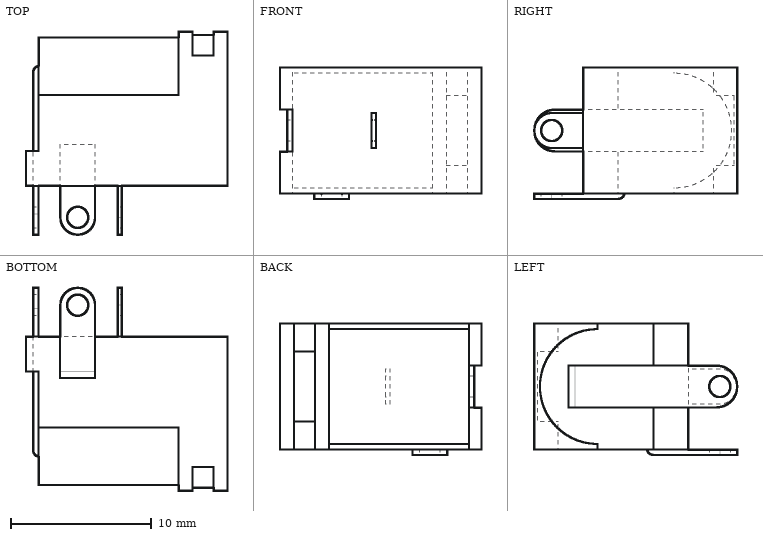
import cadquery as cq

length = 14.4
depth = 11.0
height = 9.0
mid_z = height / 2

barrel_radius = 4.1
barrel_center_y = 6.5
flange_length = 3.5
flange_x = length - flange_length

lip_length = 0.9
lip_depth = 2.5

notch_width = 1.5
notch_margin = 1.0
notch_depth = 1.71
notch_height = 2.0
web_setback = 0.22

terminal_reach = 3.5
hole_diameter = 1.5
hole_y = -2.25
bent_thickness = 0.39
bend_radius = 0.5
end_width = 3.0
end_back_y = 8.58
small_width = 2.5
bottom_center_x = 3.7
bottom_back_y = 2.97
blade_thickness = 0.3
blade_x = 6.55
blade_embed = 0.72


def box(x, y, z, size_x, size_y, size_z):
    """Box placed by its lowest corner."""
    return cq.Workplane("XY").box(size_x, size_y, size_z, centered=False).translate((x, y, z))


def terminal(width, back_y, thickness):
    """Strip along Y, lying on Z = 0, with a rounded, drilled tip towards -Y."""
    radius = width / 2
    shoulder_y = radius - terminal_reach
    strip = (
        cq.Workplane("XY")
        .moveTo(-radius, back_y)
        .lineTo(-radius, shoulder_y)
        .threePointArc((0, -terminal_reach), (radius, shoulder_y))
        .lineTo(radius, back_y)
        .close()
        .extrude(thickness)
    )
    hole = cq.Workplane("XY").center(0, hole_y).circle(hole_diameter / 2).extrude(thickness)
    return strip.cut(hole)


def bent_terminal(width, back_y):
    """Terminal whose back end curves upwards into the housing; outer face on Z = 0."""
    strip = terminal(width, back_y - bend_radius, bent_thickness)
    bend = (
        cq.Workplane("YZ")
        .moveTo(back_y - bend_radius, 0)
        .radiusArc((back_y, bend_radius), -bend_radius)
        .lineTo(back_y - bend_radius, bend_radius)
        .close()
        .extrude(width / 2, both=True)
    )
    return strip.union(bend)


def stand_up(strip, x):
    """Turn a flat terminal upright so that its outer face points to -X."""
    return strip.rotate((0, 0, 0), (0, 1, 0), 90).translate((x, 0, mid_z))


front_block = box(lip_length, 0, 0, length - lip_length, barrel_center_y, height)
flange = box(flange_x, 0, 0, flange_length, depth, height)
barrel = (
    cq.Workplane("YZ", origin=(lip_length, 0, 0))
    .center(barrel_center_y, mid_z)
    .circle(barrel_radius)
    .extrude(length - lip_length)
)
lip = box(0, 0, 0, lip_length, lip_depth, height)
lip_slot = box(0, 0, mid_z - end_width / 2, lip_length, lip_depth, end_width)
housing = front_block.union(flange).union(barrel).union(lip.cut(lip_slot))

notch_x = length - notch_margin - notch_width
for notch_z in (0, height - notch_height):
    housing = housing.cut(
        box(notch_x, depth - notch_depth, notch_z, notch_width, notch_depth, notch_height)
    )
housing = housing.cut(box(notch_x, depth - web_setback, 0, notch_width, web_setback, height))

end_terminal = stand_up(bent_terminal(end_width, end_back_y), lip_length - bent_thickness)
bottom_terminal = bent_terminal(small_width, bottom_back_y).translate(
    (bottom_center_x, 0, -bent_thickness)
)
blade_terminal = stand_up(terminal(small_width, blade_embed, blade_thickness), blade_x)

result = housing.union(end_terminal).union(bottom_terminal).union(blade_terminal)